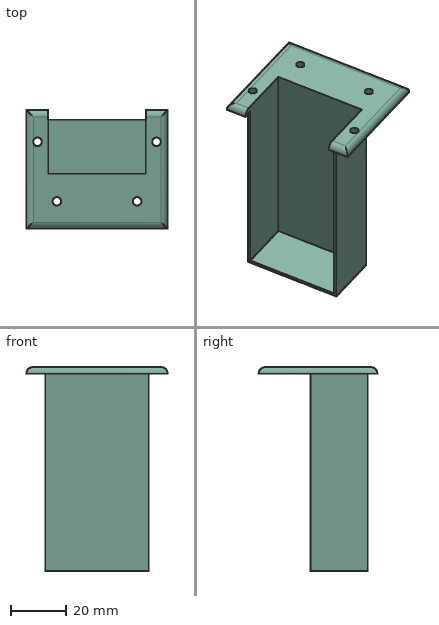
import cadquery as cq

flange_width = 51.15
flange_depth = 43.0
flange_thickness = 2.5
edge_radius = 2.5

total_height = 73.75
body_height = total_height - flange_thickness
body_width = 37.5
body_depth = 20.75
body_back_setback = 3.5
side_wall = 1.1
front_wall = 1.3
floor_thickness = side_wall

hole_diameter = 3.0
rear_hole_spacing = 43.0
rear_hole_setback = 11.5
front_hole_spacing = 29.0
front_hole_setback = 33.0

back_y = flange_depth / 2
body_back_y = back_y - body_back_setback
body_front_y = body_back_y - body_depth
cavity_front_y = body_front_y + front_wall
cavity_width = body_width - 2 * side_wall


def block(width, front_y, rear_y, bottom_z, top_z):
    """Box centred on X, spanning the given Y and Z limits."""
    size_y = rear_y - front_y
    size_z = top_z - bottom_z
    solid = cq.Workplane("XY").box(width, size_y, size_z, centered=(True, False, False))
    return solid.translate((0, front_y, bottom_z))


def make_flange():
    """Rectangular plate with its upper outer edge rounded over the full thickness."""
    outline = block(flange_width, -back_y, back_y, -edge_radius, flange_thickness)
    rounded = outline.faces(">Z").edges().fillet(edge_radius)
    lower_half = block(flange_width, -back_y, back_y, -edge_radius, 0)
    return rounded.cut(lower_half)


def make_body():
    """Solid block of the box body below the flange."""
    return block(body_width, body_front_y, body_back_y, -body_height, 0)


def make_cavity():
    """Space inside the box, running out through the top and the back edge."""
    floor_z = floor_thickness - body_height
    return block(cavity_width, cavity_front_y, back_y, floor_z, flange_thickness)


def make_screw_holes():
    """Four through holes: a wide pair near the back and a narrow pair at the front."""
    pairs = (
        (rear_hole_spacing, back_y - rear_hole_setback),
        (front_hole_spacing, back_y - front_hole_setback),
    )
    centres = [(side * spacing / 2, y) for spacing, y in pairs for side in (-1, 1)]
    return cq.Workplane("XY").pushPoints(centres).circle(hole_diameter / 2).extrude(flange_thickness)


result = make_flange().union(make_body()).cut(make_cavity()).cut(make_screw_holes())